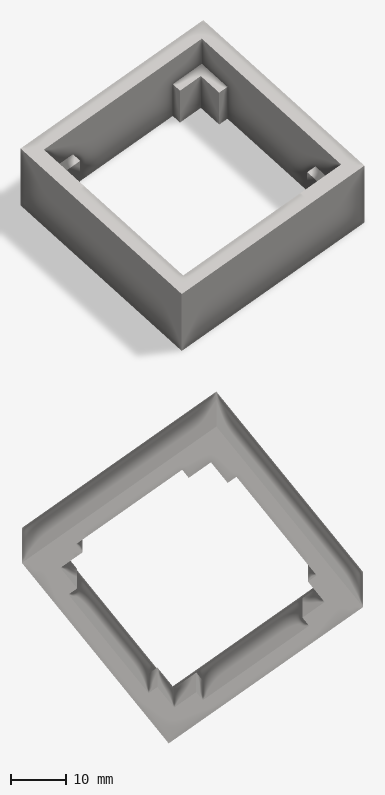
import cadquery as cq

outer_side = 44.0
frame_height = 17.0
wall = 3.0
inner_side = outer_side - 2 * wall

support_leg = 7.0
support_thickness = 2.0
support_height = 9.5


def make_frame():
    """Square ring, open at the top and bottom."""
    return (
        cq.Workplane("XY")
        .rect(outer_side, outer_side)
        .rect(inner_side, inner_side)
        .extrude(frame_height)
    )


def make_corner_support():
    """L-shaped support in the inner corner at -X, -Y."""
    corner = -inner_side / 2
    return (
        cq.Workplane("XY", origin=(corner, corner, 0))
        .lineTo(support_leg, 0)
        .lineTo(support_leg, support_thickness)
        .lineTo(support_thickness, support_thickness)
        .lineTo(support_thickness, support_leg)
        .lineTo(0, support_leg)
        .close()
        .extrude(support_height)
    )


result = make_frame()
for angle in (0, 90, 180, 270):
    support = make_corner_support().rotate((0, 0, 0), (0, 0, 1), angle)
    result = result.union(support)